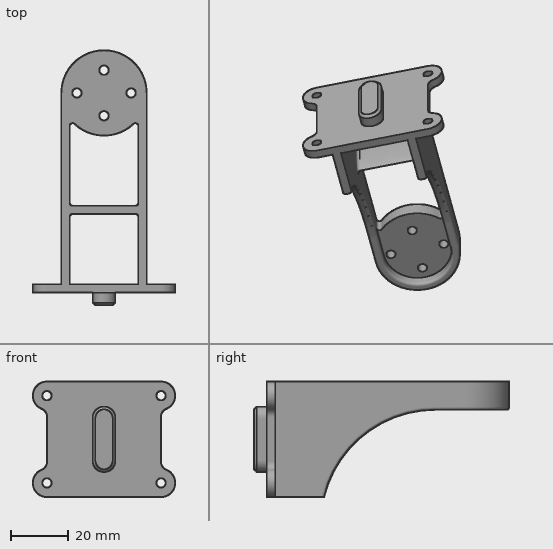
import cadquery as cq
import math

hole_span_x = 40.0
hole_span_z = 30.6
ear_radius = 5.0
ear_blend_radius = 3.0
plate_thickness = 3.0
screw_hole_diameter = 3.2
plate_top = hole_span_z / 2 + ear_radius
plate_bottom = -plate_top

key_width = 8.0
key_height = 23.0
key_projection = 4.5
key_chamfer = 1.0

arm_length = 85.0
head_radius = 15.0
head_thickness = 10.0
head_center_y = arm_length - head_radius
underside_radius = 40.0
underside_start_y = 59.0
underside_edge_radius = 1.0

wall_thickness = 3.0
inner_radius = head_radius - wall_thickness
head_bottom = plate_top - head_thickness
head_floor_thickness = 6.0
inner_fillet_radius = 1.0

web_thickness = 3.0
web_depth = 13.0
web_center_y = 29.0

selection_margin = 0.1

head_hole_offset_x = 9.5
head_hole_offset_y = 8.0


def make_plate():
    """Plate with four round ears blended into a narrower waist."""
    waist_x = hole_span_x / 2
    ear_z = hole_span_z / 2
    ear_tip_x = waist_x + ear_radius

    center_distance = ear_radius + ear_blend_radius
    blend_drop = math.sqrt(center_distance**2 - ear_blend_radius**2)
    blend_center = (waist_x + ear_blend_radius, ear_z - blend_drop)
    ear_end = (
        waist_x + ear_blend_radius * ear_radius / center_distance,
        ear_z - blend_drop * ear_radius / center_distance,
    )
    ear_end_angle = math.atan2(ear_end[1] - blend_center[1], ear_end[0] - blend_center[0])
    blend_middle_angle = (ear_end_angle + math.pi) / 2
    blend_middle = (
        blend_center[0] + ear_blend_radius * math.cos(blend_middle_angle),
        blend_center[1] + ear_blend_radius * math.sin(blend_middle_angle),
    )

    quarter = (
        cq.Workplane("XZ")
        .moveTo(0, 0)
        .lineTo(0, plate_top)
        .lineTo(waist_x, plate_top)
        .threePointArc((ear_tip_x, ear_z), ear_end)
        .threePointArc(blend_middle, (waist_x, blend_center[1]))
        .lineTo(waist_x, 0)
        .close()
        .extrude(-plate_thickness)
    )
    half = quarter.union(quarter.mirror("YZ"))
    plate = half.union(half.mirror("XY")).clean()

    holes = (
        cq.Workplane("XZ")
        .rect(hole_span_x, hole_span_z, forConstruction=True)
        .vertices()
        .circle(screw_hole_diameter / 2)
        .extrude(-plate_thickness)
    )
    return plate.cut(holes)


def make_key():
    """Upright rounded bar with a chamfered front rim."""
    return (
        cq.Workplane("XZ")
        .slot2D(key_height, key_width, angle=90)
        .extrude(key_projection)
        .faces("<Y")
        .chamfer(key_chamfer)
    )


def make_u_prism(radius, start_y):
    """Full-height prism: straight sides from start_y, closed by a half circle around the head's centre."""
    return (
        cq.Workplane("XY", origin=(0, 0, plate_bottom))
        .moveTo(-radius, start_y)
        .lineTo(radius, start_y)
        .lineTo(radius, head_center_y)
        .threePointArc((0, head_center_y + radius), (-radius, head_center_y))
        .close()
        .extrude(plate_top - plate_bottom)
    )


def make_side_profile():
    """Side shape of the arm: thin at the head, sweeping down to the full plate height."""
    arc_center_z = head_bottom - underside_radius

    def underside_point(angle):
        return (
            underside_start_y - underside_radius * math.sin(angle),
            arc_center_z + underside_radius * math.cos(angle),
        )

    end_angle = math.acos((plate_bottom - arc_center_z) / underside_radius)
    return (
        cq.Workplane("YZ")
        .moveTo(0, plate_top)
        .lineTo(arm_length, plate_top)
        .lineTo(arm_length, head_bottom)
        .lineTo(underside_start_y, head_bottom)
        .threePointArc(underside_point(end_angle / 2), underside_point(end_angle))
        .lineTo(0, plate_bottom)
        .close()
        .extrude(head_radius, both=True)
    )


def make_arm_shell():
    """Hollow arm: a U-shaped wall with rounded underside edges, open above and below."""
    outer = make_u_prism(head_radius, 0).intersect(make_side_profile())
    cavity = make_u_prism(inner_radius, plate_thickness)
    shell = outer.cut(cavity)
    head_rims = cq.selectors.BoxSelector(
        (-head_radius, head_center_y, head_bottom - selection_margin),
        (head_radius, arm_length, head_bottom + selection_margin),
    )
    return shell.edges(head_rims).fillet(underside_edge_radius)


def make_head_floor():
    """Disc closing the top of the head, with strips along the side walls filleted into it."""
    floor_bottom = plate_top - head_floor_thickness
    base = cq.Workplane("XY", origin=(0, 0, floor_bottom))
    disc = base.center(0, head_center_y).circle(head_radius).extrude(head_floor_thickness)
    window = (
        base.center(0, (plate_thickness + head_center_y) / 2)
        .rect(2 * inner_radius, head_center_y - plate_thickness)
        .extrude(head_floor_thickness)
        .cut(disc)
        .edges("|Z and >Y")
        .fillet(inner_fillet_radius)
    )
    slab = (
        base.center(0, (head_center_y + web_center_y) / 2)
        .rect(2 * head_radius, head_center_y - web_center_y)
        .extrude(head_floor_thickness)
    )
    return slab.cut(window).union(disc)


def make_web():
    """Cross web between the side walls; its section is the lower half of a slender ellipse."""
    return (
        cq.Workplane("YZ", origin=(-inner_radius, web_center_y, plate_top))
        .moveTo(-web_thickness / 2, 0)
        .ellipseArc(web_thickness / 2, web_depth, 180, 360, startAtCurrent=True)
        .close()
        .extrude(2 * inner_radius)
    )


def add_web(shell):
    """Join the web to the shell and fillet it along both side walls."""
    joined = shell.union(make_web())
    for side in (-1, 1):
        wall_x = side * inner_radius
        joint = cq.selectors.BoxSelector(
            (wall_x - selection_margin, web_center_y - web_thickness, plate_top - web_depth),
            (wall_x + selection_margin, web_center_y + web_thickness, plate_top - selection_margin),
        )
        joined = joined.edges(joint).fillet(inner_fillet_radius)
    return joined


def make_head_holes():
    """Four screw holes on a cross around the head's centre."""
    positions = [
        (-head_hole_offset_x, 0),
        (head_hole_offset_x, 0),
        (0, -head_hole_offset_y),
        (0, head_hole_offset_y),
    ]
    return (
        cq.Workplane("XY", origin=(0, head_center_y, plate_top))
        .pushPoints(positions)
        .circle(screw_hole_diameter / 2)
        .extrude(-head_floor_thickness)
    )


def make_arm():
    """Complete arm: shell, cross web and drilled head floor."""
    return add_web(make_arm_shell()).union(make_head_floor()).cut(make_head_holes())


result = make_plate().union(make_key()).union(make_arm())